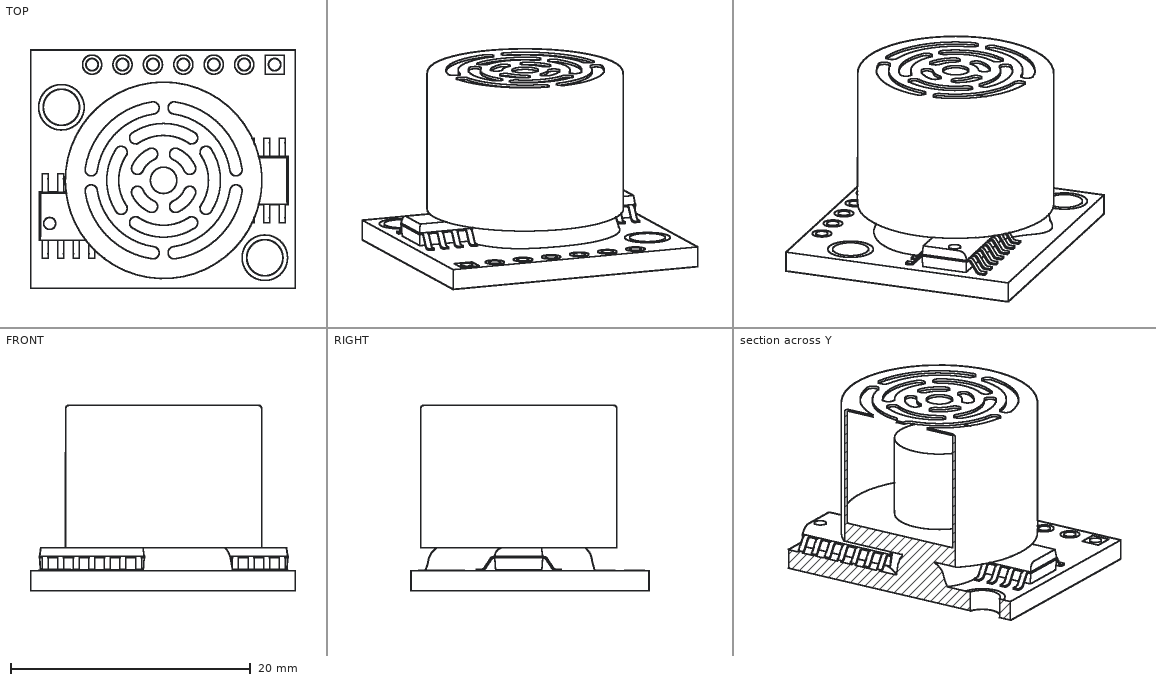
import cadquery as cq
import math

BOARD_X = 22.1
BOARD_Y = 19.9
BOARD_T = 1.7
TOTAL_HEIGHT = 15.51

PAD_RISE = 0.01
MOUNT_HOLE_DIA = 3.0
MOUNT_PAD_DIA = 3.8
MOUNT_POINTS = [(-8.48, 5.16), (8.5, -7.4)]
PIN_HOLE_DIA = 1.0
PIN_PAD_SIZE = 1.6
PIN_COUNT = 7
PIN_PITCH = 2.54
PIN_ROW_Y = 8.72
SQUARE_PIN_X = 9.32

CAN_X = 0.05
CAN_Y = -0.94
CAN_DIA = 16.4
CAVITY_DIA = 16.0
LID_T = (CAN_DIA - CAVITY_DIA) / 2
CAN_EDGE_RADIUS = 0.3
GLUE_HEIGHT = 1.9
CAN_BOTTOM = BOARD_T + GLUE_HEIGHT
CAVITY_DEPTH = 10.0
CAVITY_FLOOR = TOTAL_HEIGHT - LID_T - CAVITY_DEPTH
PEDESTAL_DIA = 7.5
PEDESTAL_RECESS = 3.45
PEDESTAL_TOP = TOTAL_HEIGHT - PEDESTAL_RECESS
DISH_RIM_DIA = PEDESTAL_DIA
DISH_TIP_DIA = 1.0
DISH_DEPTH = 0.5
GRILLE_HOLE_DIA = 2.2
GRILLE_RINGS = [
    (2.4, 1.0, 20.5, 45),
    (4.25, 1.0, 33.5, 0),
    (6.11, 1.02, 36.7, 45),
]
SLOTS_PER_RING = 4

CHIP_WIDTH = 4.06
CHIP_OVERLAP = 0.02
CHIP_TOP = CAN_BOTTOM + CHIP_OVERLAP
CHIP_STANDOFF = 0.08
FLANGE_LIP = 0.03
UPPER_DRAFT = 8
LOWER_DRAFT = 4
FLANGE_T = 0.12
FLANGE_Z = BOARD_T + 1.12
CHIP_END_MARGIN = 0.5
LEAD_PITCH = 1.3
LEAD_WIDTH = 0.5
LEAD_T = 0.12
LEAD_SHOULDER = 0.2
LEAD_FOOT_START = 0.9
LEAD_REACH = 1.5
LEAD_BEND_RADIUS = 0.35
LEAD_EMBED = 0.3
LEADS_PER_SIDE = 7
WEST_CHIP = (-5.94, -3.93)
EAST_CHIP = (6.05, -0.94)
DIMPLE_DIA = 1.0
DIMPLE_POINT = (-9.46, -4.54)

GLUE_OUTLINE = [
    (0.4, -7.9), (1.9, -8.75), (3.7, -8.0), (5.4, -5.9), (5.8, -3.5), (5.8, 1.5), (3.8, 4.4), (0, 5.4),
    (-3.8, 4.9), (-6.0, 3.6), (-7.5, 1.5), (-7.8, -0.5), (-6.5, -3.5), (-3.0, -5.2), (-0.7, -6.6),
]
GLUE_SECTIONS = [(1.0, 0.0), (0.98, 0.2), (0.965, 0.5), (0.94, 0.75), (0.88, 1.0)]


def cylinder(x, y, z, diameter, height):
    return cq.Workplane("XY", origin=(x, y, z)).circle(diameter / 2).extrude(height)


def box(x, y, z, size_x, size_y, height):
    return cq.Workplane("XY", origin=(x, y, z)).rect(size_x, size_y).extrude(height)


def make_board():
    board = box(0, 0, 0, BOARD_X, BOARD_Y, BOARD_T)
    pad_top = BOARD_T + PAD_RISE
    for x, y in MOUNT_POINTS:
        board = board.union(cylinder(x, y, BOARD_T, MOUNT_PAD_DIA, PAD_RISE))
        board = board.cut(cylinder(x, y, 0, MOUNT_HOLE_DIA, pad_top))
    for i in range(PIN_COUNT):
        x = SQUARE_PIN_X - i * PIN_PITCH
        if i == 0:
            pad = box(x, PIN_ROW_Y, BOARD_T, PIN_PAD_SIZE, PIN_PAD_SIZE, PAD_RISE)
        else:
            pad = cylinder(x, PIN_ROW_Y, BOARD_T, PIN_PAD_SIZE, PAD_RISE)
        board = board.union(pad)
        board = board.cut(cylinder(x, PIN_ROW_Y, 0, PIN_HOLE_DIA, pad_top))
    return board


def arc_slot(radius, width, half_sweep, direction):
    """Round-ended slot through the lid, curved about the can axis."""
    def at(r, degrees):
        angle = math.radians(direction + degrees)
        return (r * math.cos(angle), r * math.sin(angle))

    outer = radius + width / 2
    inner = radius - width / 2
    cap = math.degrees(width / 2 / radius)
    return (
        cq.Workplane("XY", origin=(CAN_X, CAN_Y, TOTAL_HEIGHT - LID_T))
        .moveTo(*at(outer, -half_sweep))
        .threePointArc(at(outer, 0), at(outer, half_sweep))
        .threePointArc(at(radius, half_sweep + cap), at(inner, half_sweep))
        .threePointArc(at(inner, 0), at(inner, -half_sweep))
        .threePointArc(at(radius, -half_sweep - cap), at(outer, -half_sweep))
        .close()
        .extrude(LID_T)
    )


def make_can():
    can = cylinder(CAN_X, CAN_Y, CAN_BOTTOM, CAN_DIA, TOTAL_HEIGHT - CAN_BOTTOM)
    can = can.faces(">Z").edges().fillet(CAN_EDGE_RADIUS)
    can = can.cut(cylinder(CAN_X, CAN_Y, CAVITY_FLOOR, CAVITY_DIA, CAVITY_DEPTH))
    pedestal_height = PEDESTAL_TOP - CAVITY_FLOOR
    can = can.union(cylinder(CAN_X, CAN_Y, CAVITY_FLOOR, PEDESTAL_DIA, pedestal_height))
    dish = (
        cq.Workplane("XY", origin=(CAN_X, CAN_Y, PEDESTAL_TOP))
        .circle(DISH_RIM_DIA / 2)
        .workplane(offset=-DISH_DEPTH)
        .circle(DISH_TIP_DIA / 2)
        .loft(ruled=True)
    )
    can = can.cut(dish)
    can = can.cut(cylinder(CAN_X, CAN_Y, TOTAL_HEIGHT - LID_T, GRILLE_HOLE_DIA, LID_T))
    for radius, width, half_sweep, first in GRILLE_RINGS:
        for i in range(SLOTS_PER_RING):
            direction = first + i * 360 / SLOTS_PER_RING
            can = can.cut(arc_slot(radius, width, half_sweep, direction))
    return can


def make_lead(x, y, side):
    """Gull-wing lead leaving the chip toward +Y (side = 1) or -Y (side = -1)."""
    foot_z = BOARD_T + LEAD_T / 2
    edge = y + side * CHIP_WIDTH / 2
    path = [
        (edge - side * LEAD_EMBED, FLANGE_Z),
        (edge + side * LEAD_SHOULDER, FLANGE_Z),
        (edge + side * LEAD_FOOT_START, foot_z),
        (edge + side * LEAD_REACH, foot_z),
    ]
    corners = [cq.Vector(x, path_y, path_z) for path_y, path_z in path]
    centreline = cq.Wire.makePolygon(corners).fillet(LEAD_BEND_RADIUS)
    section = cq.Workplane("XZ", origin=(x, path[0][0], FLANGE_Z)).rect(LEAD_WIDTH, LEAD_T)
    return section.sweep(cq.Workplane(obj=centreline))


def make_chip(x, y):
    lead_span = (LEADS_PER_SIDE - 1) * LEAD_PITCH
    length = lead_span + 2 * CHIP_END_MARGIN
    core_length = length - 2 * FLANGE_LIP
    core_width = CHIP_WIDTH - 2 * FLANGE_LIP
    flange_bottom = FLANGE_Z - FLANGE_T / 2
    flange_top = FLANGE_Z + FLANGE_T / 2
    upper_height = CHIP_TOP - flange_top
    lower_height = flange_bottom - BOARD_T - CHIP_STANDOFF

    south = y - core_width / 2
    north = y + core_width / 2
    draft_inset = upper_height * math.tan(math.radians(UPPER_DRAFT))
    arc_middle = upper_height * (1 - math.sqrt(0.5))
    upper = (
        cq.Workplane("YZ", origin=(x - core_length / 2, 0, 0))
        .moveTo(south, flange_top)
        .threePointArc((south + arc_middle, CHIP_TOP - arc_middle), (south + upper_height, CHIP_TOP))
        .lineTo(north - draft_inset, CHIP_TOP)
        .lineTo(north, flange_top)
        .close()
        .extrude(core_length)
    )
    end_draft = (
        cq.Workplane("XZ", origin=(x, north, 0))
        .moveTo(-core_length / 2, flange_top)
        .lineTo(core_length / 2, flange_top)
        .lineTo(core_length / 2 - draft_inset, CHIP_TOP)
        .lineTo(draft_inset - core_length / 2, CHIP_TOP)
        .close()
        .extrude(core_width)
    )
    chip = box(x, y, flange_bottom, length, CHIP_WIDTH, FLANGE_T)
    chip = chip.union(upper.intersect(end_draft))
    lower_outline = cq.Workplane("XY", origin=(x, y, flange_bottom)).rect(core_length, core_width)
    chip = chip.union(lower_outline.extrude(-lower_height, taper=LOWER_DRAFT))
    for i in range(LEADS_PER_SIDE):
        lead_x = x - lead_span / 2 + i * LEAD_PITCH
        for side in (-1, 1):
            chip = chip.union(make_lead(lead_x, y, side))
    return chip


def glue_section(scale, height_fraction):
    """Outline of the mound shrunk toward the can axis, placed at its height above the board."""
    points = [((x - CAN_X) * scale, (y - CAN_Y) * scale) for x, y in GLUE_OUTLINE]
    z = BOARD_T + height_fraction * GLUE_HEIGHT
    return cq.Workplane("XY", origin=(CAN_X, CAN_Y, z)).spline(points, periodic=True).val()


def make_glue():
    wires = [cq.Wire.assembleEdges([glue_section(*section)]) for section in GLUE_SECTIONS]
    return cq.Workplane(obj=cq.Solid.makeLoft(wires))


dimple = cq.Workplane("XY", origin=(*DIMPLE_POINT, CHIP_TOP)).sphere(DIMPLE_DIA / 2)

result = make_board().union(make_glue()).union(make_can())
result = result.union(make_chip(*EAST_CHIP))
result = result.union(make_chip(*WEST_CHIP).cut(dimple))